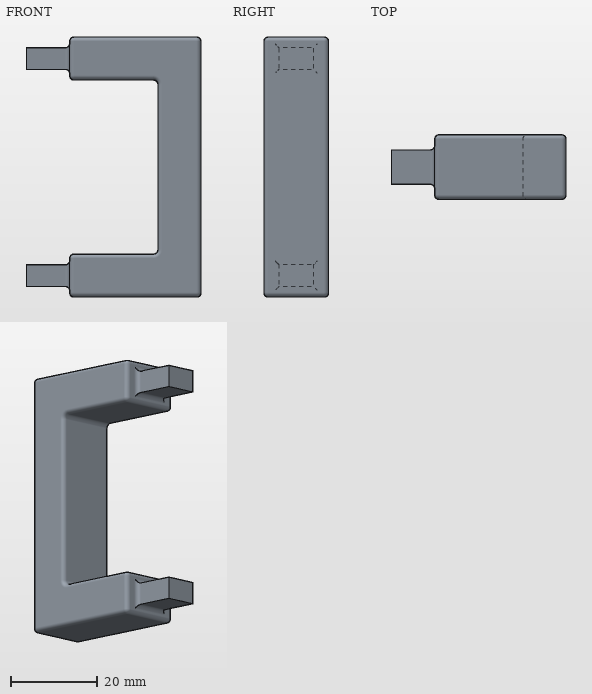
import cadquery as cq

height = 60.2
depth = 15.0
overall_length = 40.4
wall_thickness = 10.0
rounding_radius = 1.0

tenon_length = 10.0
tenon_width = 8.0
tenon_height = 5.05

body_length = overall_length - tenon_length
opening_length = body_length - wall_thickness
opening_height = height - 2 * wall_thickness
arm_center_z = (height - wall_thickness) / 2


def make_body():
    """C-shaped handle with filleted inner corners and every edge rounded."""
    from_arm_ends = (False, True, True)
    block = cq.Workplane("XY").box(body_length, depth, height, centered=from_arm_ends)
    opening = cq.Workplane("XY").box(opening_length, depth, opening_height, centered=from_arm_ends)
    inner_corners = cq.selectors.BoxSelector(
        (opening_length - rounding_radius, -depth, -height / 2 + rounding_radius),
        (opening_length + rounding_radius, depth, height / 2 - rounding_radius),
    )
    body = block.cut(opening).edges("|Y").edges(inner_corners).fillet(rounding_radius)
    return body.edges().fillet(rounding_radius)


def add_tenon(body, center_z):
    """Join a tenon to an arm end and fillet the joint around its root."""
    tenon = (
        cq.Workplane("YZ")
        .center(0, center_z)
        .rect(tenon_width, tenon_height)
        .extrude(-tenon_length)
    )
    margin = rounding_radius / 2
    half_width = tenon_width / 2 + margin
    half_height = tenon_height / 2 + margin
    root_edges = cq.selectors.BoxSelector(
        (-margin, -half_width, center_z - half_height),
        (margin, half_width, center_z + half_height),
    )
    return body.union(tenon).edges(root_edges).fillet(rounding_radius)


result = make_body()
for tenon_z in (-arm_center_z, arm_center_z):
    result = add_tenon(result, tenon_z)